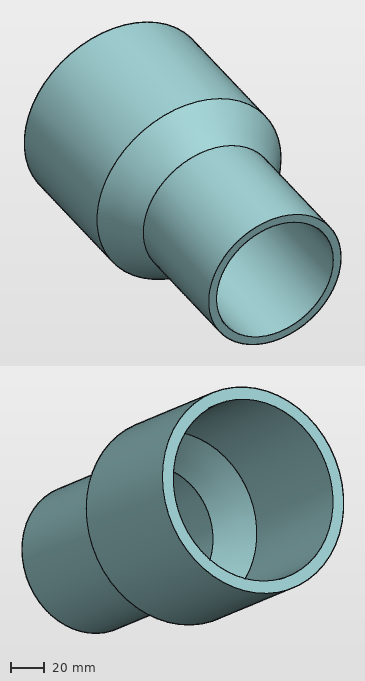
import cadquery as cq

length = 191.5
taper_start = 87.9
taper_end = 112.6

wide_outer = 125.0
wide_bore = 110.1
narrow_outer = 90.0
narrow_bore = 79.3


def stepped_body(wide_diameter, narrow_diameter):
    """Wide cylinder, cone and narrow cylinder in a row along X."""
    wide_radius = wide_diameter / 2
    narrow_radius = narrow_diameter / 2
    return (
        cq.Workplane("XY")
        .moveTo(0, 0)
        .lineTo(0, wide_radius)
        .lineTo(taper_start, wide_radius)
        .lineTo(taper_end, narrow_radius)
        .lineTo(length, narrow_radius)
        .lineTo(length, 0)
        .close()
        .revolve(360, (0, 0, 0), (1, 0, 0))
    )


result = stepped_body(wide_outer, narrow_outer).cut(stepped_body(wide_bore, narrow_bore))